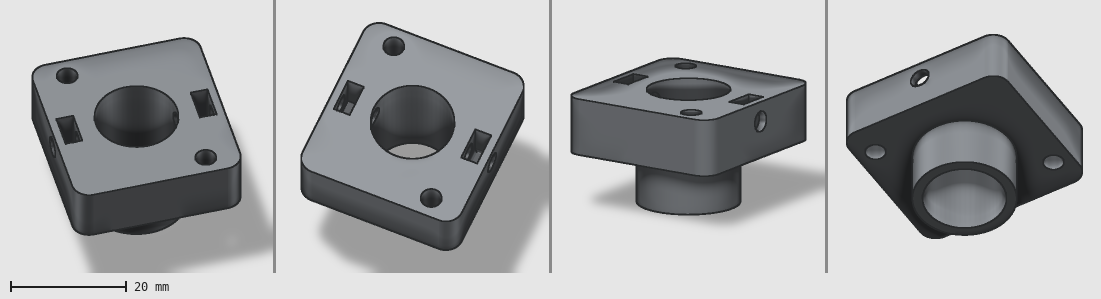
import cadquery as cq

flange_length = 32.0
flange_width = 30.0
flange_height = 10.0
corner_radius = 3.0

collar_diameter = 18.0
collar_height = 10.0
bore_diameter = 14.5

screw_diameter = 3.6
mount_x = 12.5
mount_y = 9.0
cross_hole_depth = 3.5

pocket_length = 6.1
pocket_width = 3.0
pocket_y = 12.0
pocket_depth = 7.0
floor_fillet = 0.5


def make_body():
    """Rounded flange with the collar beneath it."""
    flange = (
        cq.Workplane("XY")
        .rect(flange_length, flange_width)
        .extrude(-flange_height)
        .edges("|Z")
        .fillet(corner_radius)
    )
    collar = (
        cq.Workplane("XY", origin=(0, 0, -flange_height))
        .circle(collar_diameter / 2)
        .extrude(-collar_height)
    )
    return flange.union(collar)


def make_bore():
    return cq.Workplane("XY").circle(bore_diameter / 2).extrude(-(flange_height + collar_height))


def make_mount_holes():
    """Pair of vertical holes in diagonally opposite corners."""
    return (
        cq.Workplane("XY")
        .pushPoints([(mount_x, mount_y), (-mount_x, -mount_y)])
        .circle(screw_diameter / 2)
        .extrude(-flange_height)
    )


def make_cross_hole():
    """Hole along Y through both side walls of the flange."""
    return (
        cq.Workplane("XZ", origin=(0, 0, -cross_hole_depth))
        .circle(screw_diameter / 2)
        .extrude(flange_width / 2, both=True)
    )


def make_pocket(center_y):
    return (
        cq.Workplane("XY", origin=(0, center_y, 0))
        .rect(pocket_length, pocket_width)
        .extrude(-pocket_depth)
    )


front_pocket = make_pocket(-pocket_y)
rear_pocket = make_pocket(pocket_y).faces("<Z").fillet(floor_fillet)

result = (
    make_body()
    .cut(make_bore())
    .cut(make_mount_holes())
    .cut(make_cross_hole())
    .cut(front_pocket)
    .cut(rear_pocket)
)